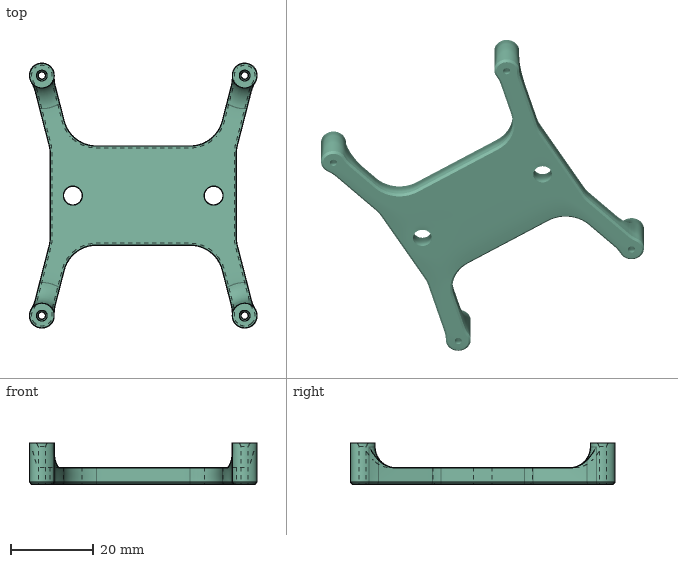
import cadquery as cq
import math


plate_half_x = 22.61
plate_half_y = 12.06
plate_thickness = 4.02

post_x = 24.62
post_y = 29.145
post_radius = 6.03 / 2
post_height = 10.05
post_hole_diameter = 1.71
post_hole_mouth_diameter = 2.61
post_hole_mouth_depth = 0.9

arm_width = 5.03
arm_length = 21.0
arm_angle = 14.4

outline_fillet = 8.04
post_foot_fillet = 5.03
bottom_chamfer = 0.5

seam_clearance = 0.3

slab_margin = 5.0

mount_hole_x = 17.085
mount_hole_diameter = 4.52

quarters = [(-1, -1), (-1, 1), (1, -1), (1, 1)]
post_centers = [(side_x * post_x, side_y * post_y) for side_x, side_y in quarters]


def make_outline_block(height):
    """Filleted outline of the whole bracket, extruded up from Z = 0."""
    plate = cq.Workplane("XY").rect(2 * plate_half_x, 2 * plate_half_y).extrude(height)

    lean = math.radians(arm_angle)
    arm_middle_x = post_x - arm_length / 2 * math.sin(lean)
    arm_middle_y = post_y - arm_length / 2 * math.cos(lean)
    bar = cq.Workplane("XY").rect(arm_width, arm_length).extrude(height)
    post = cq.Workplane("XY").circle(post_radius).extrude(height)

    block = plate
    for side_x, side_y in quarters:
        arm = bar.rotate((0, 0, 0), (0, 0, 1), -side_x * side_y * arm_angle)
        block = block.union(arm.translate((side_x * arm_middle_x, side_y * arm_middle_y, 0)))
        block = block.union(post.translate((side_x * post_x, side_y * post_y, 0)))

    corner_limit_x = post_x + post_radius
    corner_limit_y = post_y - seam_clearance
    corners = cq.selectors.BoxSelector(
        (-corner_limit_x, -corner_limit_y, 0),
        (corner_limit_x, corner_limit_y, height),
    )
    return block.edges("|Z").edges(corners).fillet(outline_fillet)


def make_post_with_foot():
    """Post centred on the origin, flaring out in a quarter-round foot onto the plate top."""
    foot_radius = post_radius + post_foot_fillet
    foot_top = plate_thickness + post_foot_fillet
    arc_offset = post_foot_fillet * math.sqrt(0.5)
    return (
        cq.Workplane("XZ")
        .lineTo(foot_radius, 0)
        .lineTo(foot_radius, plate_thickness)
        .threePointArc((foot_radius - arc_offset, foot_top - arc_offset), (post_radius, foot_top))
        .lineTo(post_radius, post_height)
        .lineTo(0, post_height)
        .close()
        .revolve(360, (0, 0, 0), (0, 1, 0))
    )


def make_body():
    """Full-height outline block cut down to the plate top everywhere but at the footed posts."""
    slab_x = 2 * (post_x + post_radius + slab_margin)
    slab_y = 2 * (post_y + post_radius + slab_margin)
    envelope = cq.Workplane("XY").rect(slab_x, slab_y).extrude(plate_thickness)
    post = make_post_with_foot()
    for x, y in post_centers:
        envelope = envelope.union(post.translate((x, y, 0)))
    body = make_outline_block(post_height).intersect(envelope).clean()
    return body.faces("<Z").edges().chamfer(bottom_chamfer)


def cut_post_holes(body):
    """Through hole in each post with a tapered mouth at the top."""
    mouth_angle = 2 * math.degrees(
        math.atan2((post_hole_mouth_diameter - post_hole_diameter) / 2, post_hole_mouth_depth)
    )
    return (
        body.faces(">Z")
        .workplane(origin=(0, 0, post_height))
        .pushPoints(post_centers)
        .cskHole(post_hole_diameter, post_hole_mouth_diameter, mouth_angle)
    )


def cut_mount_holes(body):
    """Two plain through holes on the X axis."""
    holes = (
        cq.Workplane("XY")
        .pushPoints([(-mount_hole_x, 0), (mount_hole_x, 0)])
        .circle(mount_hole_diameter / 2)
        .extrude(plate_thickness)
    )
    return body.cut(holes)


result = cut_mount_holes(cut_post_holes(make_body()))